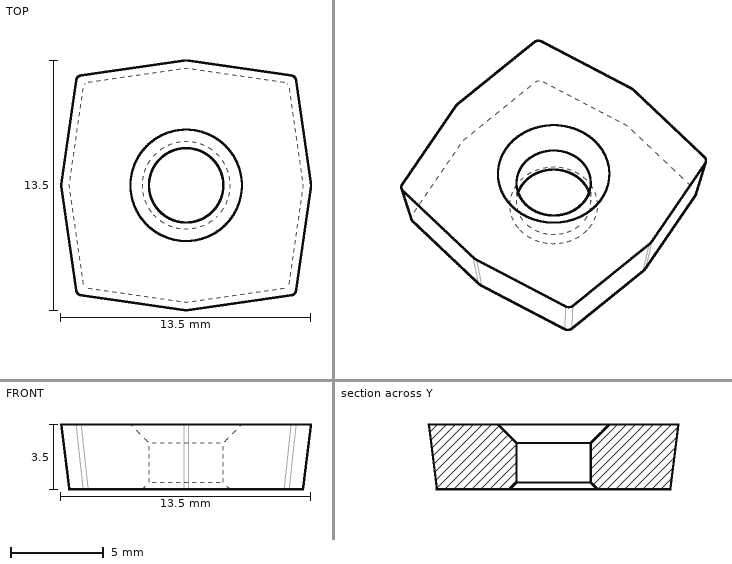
import cadquery as cq
import math

width = 13.45
thickness = 3.5
flank_lean = 8.2
clearance_angle = 7.0
tip_radius = 0.86
corner_radius = 0.32

hole_diameter = 4.0
countersink_diameter = 6.0
countersink_angle = 90.0
bottom_chamfer = 0.36

lean = math.radians(flank_lean)
tip_reach = width / 2 + tip_radius * (1 / math.cos(lean) - 1)
corner_reach = tip_reach / (1 + math.tan(lean))


def sharp_outline():
    """Points of the unrounded octagon, alternating blunt tips and corners."""
    points = []
    for side in range(4):
        tip_angle = side * math.pi / 2
        corner_angle = tip_angle + math.pi / 4
        corner_distance = corner_reach * math.sqrt(2)
        points.append((tip_reach * math.cos(tip_angle), tip_reach * math.sin(tip_angle)))
        points.append((corner_distance * math.cos(corner_angle), corner_distance * math.sin(corner_angle)))
    return points


def is_corner_edge(edge):
    """True for a flank edge on a diagonal, false for one at a blunt tip."""
    middle = edge.Center()
    return min(abs(middle.x), abs(middle.y)) > corner_reach / 2


body = (
    cq.Workplane("XY", origin=(0, 0, thickness))
    .polyline(sharp_outline())
    .close()
    .extrude(-thickness, taper=clearance_angle)
)

flank_edges = body.edges("not(#Z)")
tip_edges = flank_edges.filter(lambda edge: not is_corner_edge(edge))
body = tip_edges.fillet(tip_radius)
corner_edges = body.edges("not(#Z)").filter(is_corner_edge)
body = corner_edges.fillet(corner_radius)

drilled = (
    body.faces(">Z")
    .workplane(origin=(0, 0, thickness))
    .cskHole(hole_diameter, countersink_diameter, countersink_angle)
)

result = drilled.faces("<Z").edges("%CIRCLE").edges(
    cq.selectors.RadiusNthSelector(-1)
).chamfer(bottom_chamfer)